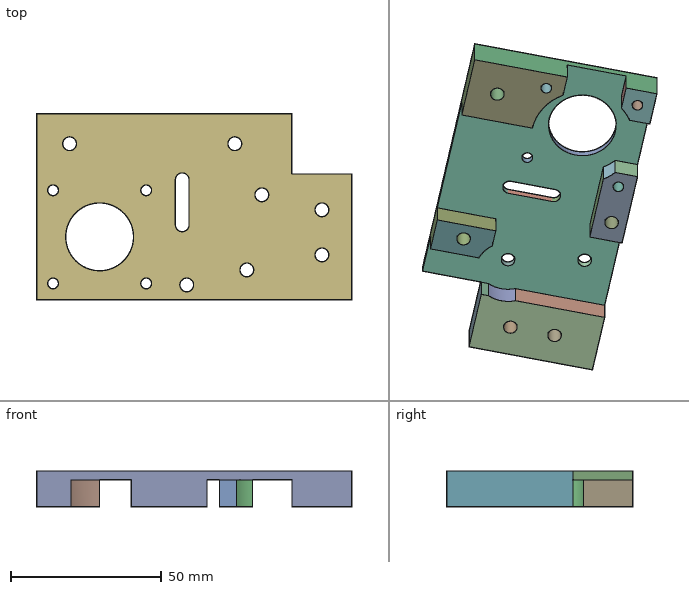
import cadquery as cq
import math

length = 105.0
width = 62.0
height = 12.0
plate_thickness = 3.0
leg_height = height - plate_thickness
notch_length = 20.0
notch_width = 20.0

motor_x = 21.0
motor_y = 21.0
motor_bore = 22.5
motor_screw_pitch = 31.0
motor_screw_diameter = 3.5

mount_diameter = 4.5
rear_holes = [(11.0, 52.0), (66.0, 52.0)]
front_hole = (50.0, 5.0)
right_holes = [(95.0, 15.0), (95.0, 30.0)]
open_hole = (70.0, 10.0)

slot_x = 48.5
slot_y = 32.5
slot_length = 19.5

motor_clearance_radius = 17.0
idler_x = 75.0
idler_y = 35.0
idler_clearance_radius = 11.0

corner_leg_length = 11.5
corner_leg_width = 10.5
channel_width = 20.0
front_leg_left = corner_leg_length + channel_width
front_leg_right = 56.75
front_leg_width = 11.0
left_wall_front = corner_leg_width + channel_width
left_wall_right = 21.0
rear_pad_left = 60.9
rear_pad_right = 71.9
rear_pad_front_length = 5.7
idler_reach = idler_x - rear_pad_left - rear_pad_front_length
rear_pad_front = idler_y + math.sqrt(idler_clearance_radius**2 - idler_reach**2)
right_leg_left = length - notch_length


def leg_box(x_start, x_end, y_start, y_end):
    """Rectangular leg reaching from Z = 0 into the underside of the plate."""
    return cq.Workplane("XY").box(
        x_end - x_start, y_end - y_start, leg_height, centered=False
    ).translate((x_start, y_start, 0))


def make_plate():
    """Plate with the rectangular notch in its rear right corner."""
    return (
        cq.Workplane("XY")
        .workplane(offset=leg_height)
        .moveTo(0, 0)
        .lineTo(length, 0)
        .lineTo(length, width - notch_width)
        .lineTo(length - notch_length, width - notch_width)
        .lineTo(length - notch_length, width)
        .lineTo(0, width)
        .close()
        .extrude(plate_thickness)
    )


def make_legs():
    """All legs, hollowed out by the motor and idler clearance circles."""
    legs = leg_box(0, corner_leg_length, 0, corner_leg_width)
    for leg in (
        leg_box(front_leg_left, front_leg_right, 0, front_leg_width),
        leg_box(0, left_wall_right, left_wall_front, width),
        leg_box(rear_pad_left, rear_pad_right, rear_pad_front, width),
        leg_box(right_leg_left, length, 0, width - notch_width),
    ):
        legs = legs.union(leg)
    for x, y, radius in (
        (motor_x, motor_y, motor_clearance_radius),
        (idler_x, idler_y, idler_clearance_radius),
    ):
        legs = legs.cut(cq.Workplane("XY").center(x, y).circle(radius).extrude(leg_height))
    return legs


def cut_holes(body, points, diameter):
    """Drill vertical holes through the full height at the given points."""
    drills = cq.Workplane("XY").pushPoints(points).circle(diameter / 2).extrude(height)
    return body.cut(drills)


def make_slot():
    """Cutter for the round-ended adjusting slot."""
    return (
        cq.Workplane("XY")
        .center(slot_x, slot_y)
        .slot2D(slot_length, mount_diameter, 90)
        .extrude(height)
    )


body = make_plate().union(make_legs())

screw_offset = motor_screw_pitch / 2
motor_screws = [
    (motor_x + side_x * screw_offset, motor_y + side_y * screw_offset)
    for side_x in (-1, 1)
    for side_y in (-1, 1)
]
mount_holes = rear_holes + [front_hole] + right_holes + [open_hole, (idler_x, idler_y)]

body = cut_holes(body, [(motor_x, motor_y)], motor_bore)
body = cut_holes(body, motor_screws, motor_screw_diameter)
body = cut_holes(body, mount_holes, mount_diameter)
result = body.cut(make_slot())